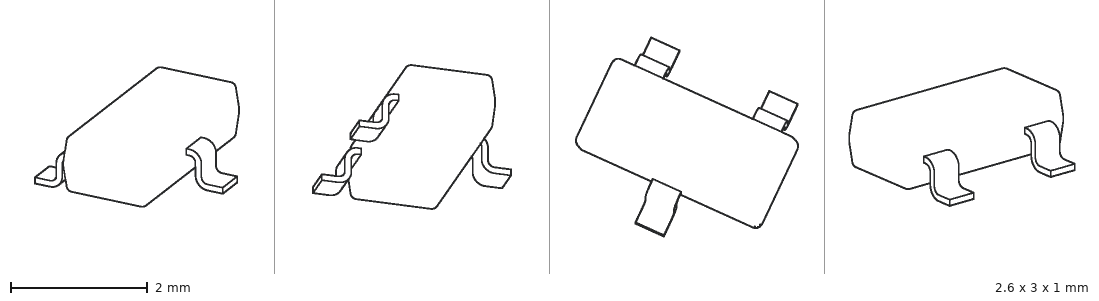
import cadquery as cq
import math

overall_span = 2.6
body_length = 3.0
body_width = 1.4
overall_height = 1.0

lead_thickness = 0.1
lead_width = 0.46
lead_pitch = 1.902
foot_length = 0.252
bend_inner_radius = 0.1
bend_outer_radius = bend_inner_radius + lead_thickness

standoff = 0.1
band_height = lead_thickness
band_bottom = (overall_height + standoff - band_height) / 2
band_top = band_bottom + band_height
draft_angle = 6.0
edge_radius = 0.1


def make_housing():
    """Moulded body drafted above and below its band, with every edge and band crease rounded."""
    taper_height = overall_height - band_top
    draft_inset = taper_height * math.tan(math.radians(draft_angle))
    end_width = body_width - 2 * draft_inset
    end_length = body_length - 2 * draft_inset
    block = (
        cq.Workplane("XY", origin=(0, 0, standoff))
        .rect(end_width, end_length)
        .workplane(offset=taper_height)
        .rect(body_width, body_length)
        .workplane(offset=band_height)
        .rect(body_width, body_length)
        .workplane(offset=taper_height)
        .rect(end_width, end_length)
        .loft(ruled=True)
    )
    return block.edges().fillet(edge_radius)


def make_lead(side, center_y):
    """Gull-wing lead on the given side (-1 or +1 along X), from its foot to the housing wall."""
    toe = -overall_span / 2
    foot_end = toe + foot_length
    wall_outer = foot_end + bend_inner_radius
    wall_inner = wall_outer + lead_thickness
    shoulder_start = wall_inner + bend_inner_radius
    shoulder_end = -body_width / 2
    lower_bend_z = bend_outer_radius
    upper_bend_z = band_top - bend_outer_radius
    diagonal = math.sqrt(0.5)
    inner_mid = bend_inner_radius * diagonal
    outer_mid = bend_outer_radius * diagonal

    profile = (
        cq.Workplane("XZ", origin=(0, lead_width / 2, 0))
        .moveTo(toe, 0)
        .lineTo(foot_end, 0)
        .threePointArc((foot_end + outer_mid, lower_bend_z - outer_mid), (wall_inner, lower_bend_z))
        .lineTo(wall_inner, upper_bend_z)
        .threePointArc((shoulder_start - inner_mid, upper_bend_z + inner_mid), (shoulder_start, band_bottom))
        .lineTo(shoulder_end, band_bottom)
        .lineTo(shoulder_end, band_top)
        .lineTo(shoulder_start, band_top)
        .threePointArc((shoulder_start - outer_mid, upper_bend_z + outer_mid), (wall_outer, upper_bend_z))
        .lineTo(wall_outer, lower_bend_z)
        .threePointArc((foot_end + inner_mid, lower_bend_z - inner_mid), (foot_end, lead_thickness))
        .lineTo(toe, lead_thickness)
        .close()
    )
    lead = profile.extrude(lead_width)
    if side > 0:
        lead = lead.mirror("YZ")
    return lead.translate((0, center_y, 0))


lead_places = [(-1, -lead_pitch / 2), (-1, lead_pitch / 2), (1, 0)]

housing = make_housing()
leads = [make_lead(side, center_y) for side, center_y in lead_places]
result = cq.Compound.makeCompound([housing.val(), *[lead.val() for lead in leads]])